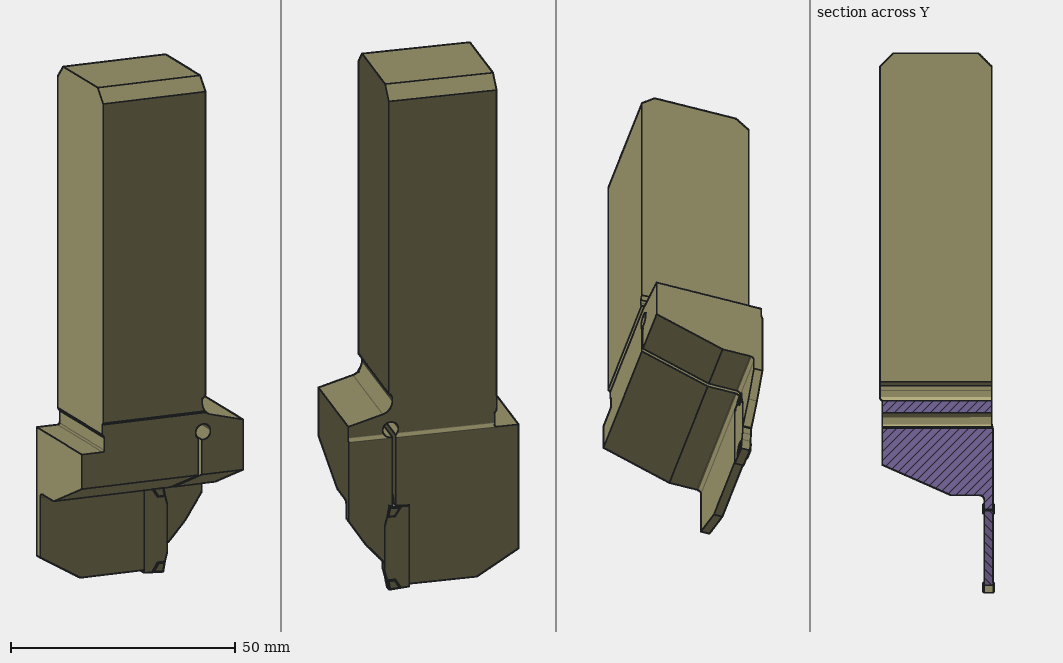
import cadquery as cq
import math

shank_width = 25.0
shank_depth = 25.0
total_height = 120.29
top_chamfer = 3.0

head_front = -5.0
head_depth = 39.4
head_back = head_front + head_depth
head_bottom = 0.95
shoulder_z = 36.5
head_left = -0.25
head_left_taper_height = 1.0
head_right = 24.5
right_step_z = 42.8
front_relief_depth = 0.5
front_relief_top = 39.75
front_relief_bevel_height = 0.75
front_relief_fillet = 0.4
front_bevel_y = 4.7
front_bevel_top = 6.7

arm_top = 40.1
arm_slope = math.radians(15)
arm_fillet = 3.0
rear_relief_y = 24.2
rear_relief_top = 46.2
arm_bevel_top = 17.5
arm_bevel_mid = (30.4, 11.4)
arm_bevel_end = (26.2, 6.7)

blade_thickness = 2.0
blade_right = head_left + blade_thickness
blade_top = 21.7
blade_fillet = 1.0
underside_flat_end = 9.1
underside_outer_z = 28.5

slot_y = 23.85
slot_width = 0.8
hole_y = 24.6
hole_z = 38.4
hole_diameter = 3.6

insert_length = 19.9
seat_end_gap = 0.3
insert_mid_z = insert_length / 2
insert_front = 20.3
insert_back = 26.0
insert_tip_y = 25.0
insert_end_relief = 0.3
insert_ramp_y = 25.5
insert_ramp_start = 2.7
insert_ramp_end = 4.6
edge_width = 2.5
edge_taper = 45.0
edge_overhang = (edge_width - blade_thickness) / 2
edge_length = 2.4
edge_inner_y = 23.6
edge_heel_y = 22.2


def prism_along_x(outline, x_start, x_end):
    """Extrude a closed (Y, Z) outline from x_start to x_end."""
    return cq.Workplane("YZ").workplane(offset=x_start).polyline(outline).close().extrude(x_end - x_start)


def side_profile():
    """Side shape of the whole holder, spanning from the head's left face to the shank's right face."""
    rear_step = shank_depth - rear_relief_y
    corner_z = arm_top + (head_back - rear_relief_y) * math.tan(arm_slope)
    tangent = arm_fillet * math.tan((math.pi / 2 - arm_slope) / 2)
    slope_end = (rear_relief_y + tangent * math.cos(arm_slope), corner_z - tangent * math.sin(arm_slope))
    relief_start = (rear_relief_y, corner_z + tangent)
    return (
        cq.Workplane("YZ")
        .workplane(offset=head_left)
        .moveTo(front_bevel_y, head_bottom)
        .lineTo(head_front, front_bevel_top)
        .lineTo(head_front, shoulder_z)
        .lineTo(front_relief_depth - front_relief_fillet, shoulder_z)
        .radiusArc((front_relief_depth, shoulder_z + front_relief_fillet), -front_relief_fillet)
        .lineTo(front_relief_depth, front_relief_top)
        .lineTo(0, front_relief_top + front_relief_bevel_height)
        .lineTo(0, total_height)
        .lineTo(shank_depth, total_height)
        .lineTo(shank_depth, rear_relief_top + rear_step)
        .lineTo(rear_relief_y, rear_relief_top)
        .lineTo(*relief_start)
        .radiusArc(slope_end, -arm_fillet)
        .lineTo(head_back, arm_top)
        .lineTo(head_back, arm_bevel_top)
        .lineTo(*arm_bevel_mid)
        .lineTo(*arm_bevel_end)
        .lineTo(insert_back, arm_bevel_end[1])
        .lineTo(insert_front, head_bottom)
        .close()
        .extrude(shank_width - head_left)
    )


def front_profile():
    """Front shape of the whole holder: chamfered shank, head and thin blade."""
    right_step = shank_width - head_right
    outline = [
        (head_left, 0),
        (head_left, shoulder_z),
        (0, shoulder_z + head_left_taper_height),
        (0, total_height - top_chamfer),
        (top_chamfer, total_height),
        (shank_width - top_chamfer, total_height),
        (shank_width, total_height - top_chamfer),
        (shank_width, right_step_z + right_step),
        (head_right, right_step_z),
        (head_right, underside_outer_z),
        (underside_flat_end, blade_top),
        (blade_right, blade_top),
        (blade_right, 0),
    ]
    profile = cq.Workplane("XZ").workplane(offset=-head_back).polyline(outline).close().extrude(head_depth)
    blade_root = cq.selectors.NearestToPointSelector((blade_right, head_back - head_depth / 2, blade_top))
    return profile.edges(blade_root).fillet(blade_fillet)


def insert_outline():
    """(Y, Z) outline of the insert, the same at both ends."""
    lower_end = [
        (insert_front, insert_end_relief),
        (insert_tip_y, 0),
        (insert_ramp_y, insert_ramp_start),
        (insert_back, insert_ramp_end),
    ]
    upper_end = [(y, insert_length - z) for y, z in reversed(lower_end)]
    return lower_end + upper_end


def cutting_edge_pad():
    """Tapered pad that widens the left side of the insert at its lower end."""
    end_slope = insert_end_relief / (insert_tip_y - insert_front)
    ramp_slope = (insert_ramp_y - insert_tip_y) / insert_ramp_start
    outline = [
        (edge_heel_y, (insert_tip_y - edge_heel_y) * end_slope),
        (insert_tip_y, 0),
        (insert_tip_y + edge_length * ramp_slope, edge_length),
        (edge_inner_y, edge_length),
    ]
    pad = cq.Workplane("YZ").workplane(offset=head_left).polyline(outline).close()
    return pad.extrude(-edge_overhang, taper=edge_taper)


def make_holder():
    slot_bottom = insert_mid_z
    slot = cq.Workplane("XY").box(shank_width * 2, slot_width, hole_z - slot_bottom, centered=(True, True, False))
    slot = slot.translate((shank_width / 2, slot_y, slot_bottom))
    hole = (
        cq.Workplane("YZ")
        .workplane(offset=head_left)
        .center(hole_y, hole_z)
        .circle(hole_diameter / 2)
        .extrude(shank_width - head_left)
    )
    seat = prism_along_x(insert_outline(), head_left, blade_right)
    seat = seat.union(seat.translate((0, 0, seat_end_gap)))
    return side_profile().intersect(front_profile()).cut(slot).cut(hole).cut(seat)


def make_insert():
    body = prism_along_x(insert_outline(), head_left, blade_right)
    lower_left = cutting_edge_pad()
    lower_right = lower_left.mirror("YZ", ((head_left + blade_right) / 2, 0, 0))
    for lower_pad in (lower_left, lower_right):
        upper_pad = lower_pad.mirror("XY", (0, 0, insert_mid_z))
        body = body.union(lower_pad).union(upper_pad)
    return body


holder = make_holder()
insert = make_insert()
result = cq.Compound.makeCompound([holder.solids().val(), insert.solids().val()])